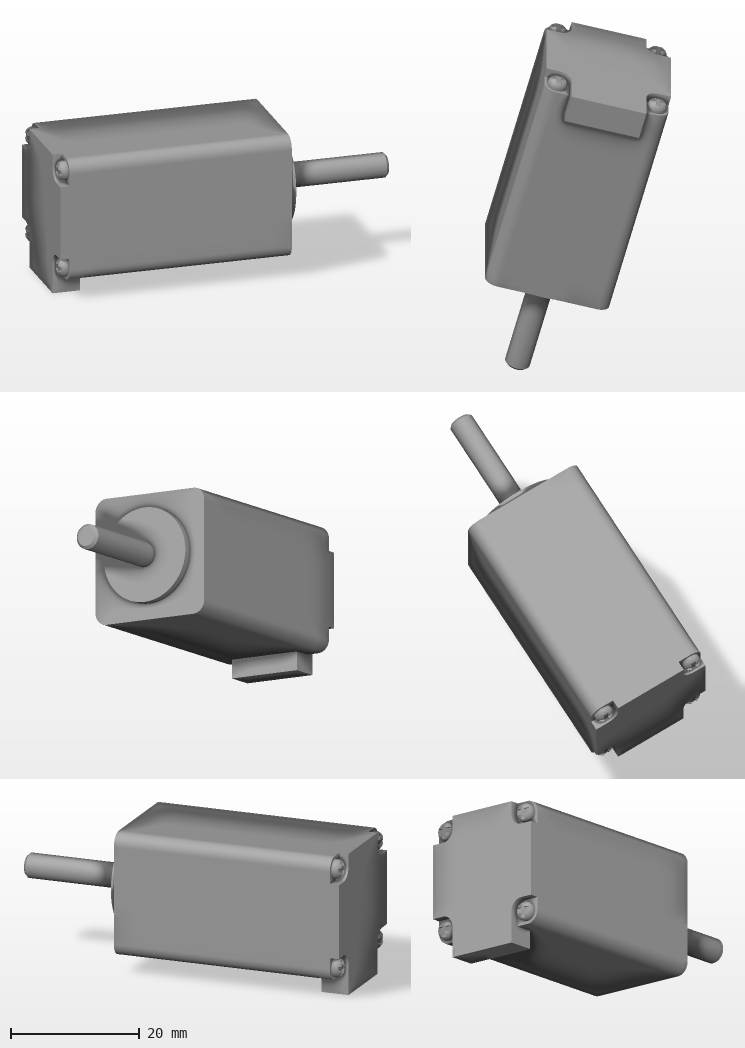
import cadquery as cq

total_length = 56.2
body_width = 20.0
total_height = 23.0
edge_radius = body_width / 10

flange_diameter = 15.0
flange_thickness = 1.5
shaft_diameter = 4.0
shaft_length = 17.0
shaft_chamfer = 0.45
body_length = total_length - shaft_length - flange_thickness

pocket_radius = edge_radius
pocket_depth = 1.5
screw_offset = body_width / 2 - edge_radius

head_diameter = 3.05
head_rim_height = 0.5
head_height = 1.45
head_flat_radius = 0.55
head_bulge = 0.15
cross_span = 2.5
cross_arm_width = 0.85
cross_depth = 0.45

connector_width = 2 * (screw_offset - pocket_radius)
connector_length = 4.5
connector_drop = total_height - body_width


def cylinder_along_y(diameter, length, start):
    """Cylinder on the motor axis, running from Y = start towards +Y."""
    return cq.Workplane("XZ", origin=(0, start, 0)).circle(diameter / 2).extrude(-length)


def make_body():
    """Square housing with rounded long edges and its rear face at Y = 0."""
    block = cq.Workplane("XZ").rect(body_width, body_width).extrude(-body_length)
    return block.edges("|Y").fillet(edge_radius)


def make_output_end():
    """Pilot flange and chamfered shaft."""
    flange = cylinder_along_y(flange_diameter, flange_thickness, body_length)
    shaft = cylinder_along_y(shaft_diameter, shaft_length, body_length + flange_thickness)
    return flange.union(shaft.faces(">Y").chamfer(shaft_chamfer))


def make_pocket(side_x, side_z):
    """Corner cutter, rounded about the screw and open to both outer sides."""
    size = edge_radius + pocket_radius
    center = body_width / 2 - size / 2
    cutter = (
        cq.Workplane("XZ")
        .center(side_x * center, side_z * center)
        .rect(size, size)
        .extrude(-pocket_depth)
    )
    inner_edge = cq.selectors.NearestToPointSelector(
        (side_x * (center - size / 2), pocket_depth / 2, side_z * (center - size / 2))
    )
    return cutter.edges("|Y").edges(inner_edge).fillet(pocket_radius)


def make_screw_head():
    """Screw head standing on Z = 0, with its cross recess on top."""
    head_radius = head_diameter / 2
    dome_middle = (
        (head_radius + head_flat_radius) / 2 + head_bulge,
        (head_rim_height + head_height) / 2 + head_bulge,
    )
    head = (
        cq.Workplane("XZ")
        .lineTo(head_radius, 0)
        .lineTo(head_radius, head_rim_height)
        .threePointArc(dome_middle, (head_flat_radius, head_height))
        .lineTo(0, head_height)
        .close()
        .revolve(360, (0, 0, 0), (0, 1, 0))
    )
    recess = cq.Workplane("XY", origin=(0, 0, head_height - cross_depth))
    across = recess.rect(cross_span, cross_arm_width).extrude(cross_depth)
    along = recess.rect(cross_arm_width, cross_span).extrude(cross_depth)
    return head.cut(across).cut(along)


def make_connector():
    """Block below the housing, flush with the rear face."""
    return (
        cq.Workplane("XZ")
        .center(0, -connector_drop / 2)
        .rect(connector_width, total_height)
        .extrude(-connector_length)
    )


result = make_body().union(make_output_end()).union(make_connector())

screw_head = make_screw_head().rotate((0, 0, 0), (1, 0, 0), 90)
for side_x in (-1, 1):
    for side_z in (-1, 1):
        seat = (side_x * screw_offset, pocket_depth, side_z * screw_offset)
        result = result.cut(make_pocket(side_x, side_z)).union(screw_head.translate(seat))